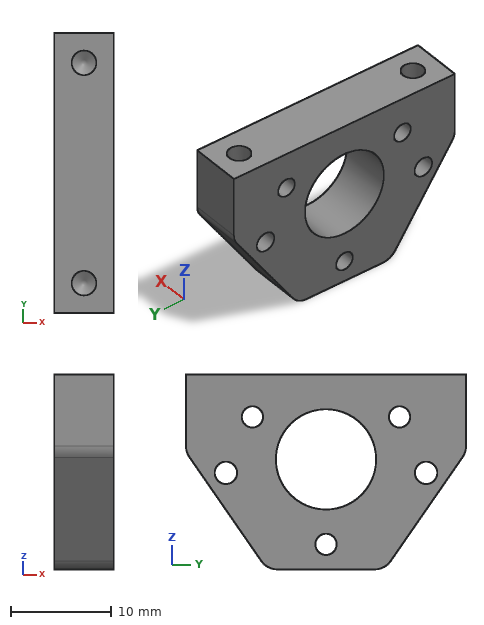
import cadquery as cq
import math

thickness = 6.0
width = 28.0
height = 19.5
bore_drop = 8.48
bore_diameter = 10.0

shoulder_drop = 7.75
bottom_width = 11.75
corner_radius = 2.0

circle_hole_diameter = 2.1
circle_radius = 8.48
circle_hole_angles = (30, 150, 270)

side_hole_diameter = 2.2
side_hole_spacing = 20.0
side_hole_offset = -1.35

top_hole_diameter = 2.45
top_hole_spacing = 22.0
top_hole_depth = 6.0
drill_point_angle = 118.0

top = bore_drop
bottom = top - height
shoulder = top - shoulder_drop


def face_plane():
    """Sketch plane on the -X face of the plate."""
    return cq.Workplane("YZ", origin=(-thickness / 2, 0, 0))


def make_plate():
    """Five-sided plate with rounded shoulder and bottom corners."""
    outline = [
        (-width / 2, top),
        (width / 2, top),
        (width / 2, shoulder),
        (bottom_width / 2, bottom),
        (-bottom_width / 2, bottom),
        (-width / 2, shoulder),
    ]
    plate = face_plane().polyline(outline).close().extrude(thickness)
    return plate.edges("|X").edges("not >Z").fillet(corner_radius)


def through_holes(points, diameter):
    """Cutters along X at the given (y, z) points."""
    cutters = face_plane().pushPoints(points).circle(diameter / 2)
    return cutters.extrude(thickness)


def drilled_hole(y):
    """Vertical cutter with a conical drill point, entering from the top face."""
    radius = top_hole_diameter / 2
    straight_end = top - top_hole_depth
    tip = straight_end - radius / math.tan(math.radians(drill_point_angle / 2))
    profile = [(0, top), (radius, top), (radius, straight_end), (0, tip)]
    cutter = cq.Workplane("XZ").polyline(profile).close().revolve(360, (0, 0), (0, 1))
    return cutter.translate((0, y, 0))


circle_points = [
    (circle_radius * math.cos(math.radians(angle)), circle_radius * math.sin(math.radians(angle)))
    for angle in circle_hole_angles
]
side_points = [(sign * side_hole_spacing / 2, side_hole_offset) for sign in (-1, 1)]

result = make_plate()
result = result.cut(through_holes([(0, 0)], bore_diameter))
result = result.cut(through_holes(circle_points, circle_hole_diameter))
result = result.cut(through_holes(side_points, side_hole_diameter))
for side in (-1, 1):
    result = result.cut(drilled_hole(side * top_hole_spacing / 2))